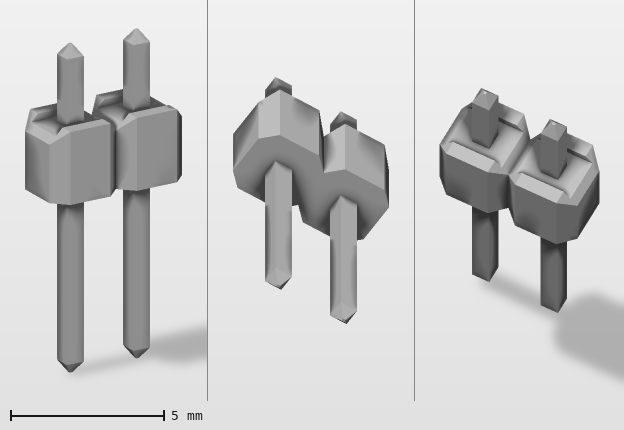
import cadquery as cq

pin_count = 2
pitch = 2.54

housing_height = 2.54
housing_chamfer = 0.5
channel_width = pitch - 2 * housing_chamfer
channel_depth = 0.25

pin_length = 11.43
pin_width = 0.64
pin_tail = 6.35
tip_length = 0.4
tip_width = 0.1


def square_taper(start_z, direction):
    """Tapered pin point that starts at start_z and narrows along direction (+1 or -1)."""
    return (
        cq.Workplane("XY", origin=(0, 0, start_z))
        .rect(pin_width, pin_width)
        .workplane(offset=direction * tip_length)
        .rect(tip_width, tip_width)
        .loft(ruled=True)
    )


def make_pin(y):
    """Square pin pointed at both ends."""
    shank_bottom = tip_length - pin_tail
    shank_length = pin_length - 2 * tip_length
    shank_top = shank_bottom + shank_length
    shank = cq.Workplane("XY", origin=(0, 0, shank_bottom)).rect(pin_width, pin_width).extrude(shank_length)
    pin = shank.union(square_taper(shank_top, 1)).union(square_taper(shank_bottom, -1))
    return pin.translate((0, y, 0))


def make_housing(y):
    """Insulator block with a channel along Y across its top and a square hole for the pin."""
    block = cq.Workplane("XY").rect(pitch, pitch).extrude(housing_height)
    block = block.edges("|Z").chamfer(housing_chamfer)

    half = pitch / 2
    sloped_profile = (
        cq.Workplane("YZ")
        .moveTo(-half, 0)
        .lineTo(half, 0)
        .lineTo(half, housing_height - housing_chamfer)
        .lineTo(half - housing_chamfer, housing_height)
        .lineTo(housing_chamfer - half, housing_height)
        .lineTo(-half, housing_height - housing_chamfer)
        .close()
        .extrude(half, both=True)
    )

    channel_floor = housing_height - channel_depth
    channel = cq.Workplane("XY", origin=(0, 0, channel_floor)).rect(channel_width, pitch).extrude(channel_depth)
    pin_hole = cq.Workplane("XY").rect(pin_width, pin_width).extrude(housing_height)

    housing = block.intersect(sloped_profile).cut(channel).cut(pin_hole)
    return housing.translate((0, y, 0))


housings = []
pins = []
for index in range(pin_count):
    position = (index - (pin_count - 1) / 2) * pitch
    housings.append(make_housing(position).val())
    pins.append(make_pin(position).val())

result = cq.Compound.makeCompound([*housings, *pins])